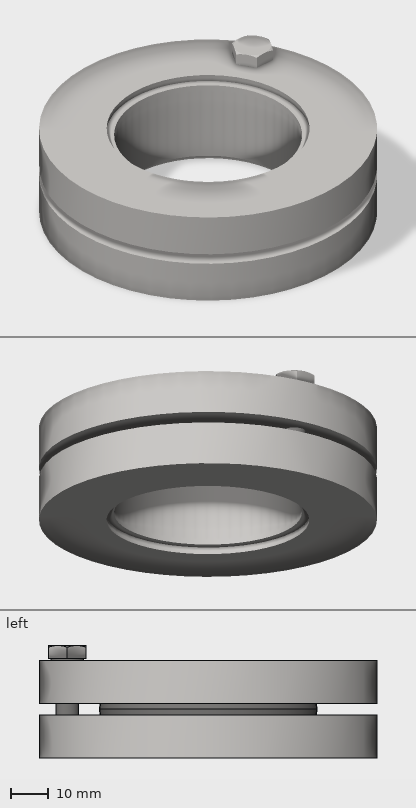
import cadquery as cq
import math

flange_diameter = 90.0
flange_thickness = 11.5
flange_gap = 3.0
stack_height = 2 * flange_thickness + flange_gap
middle_z = stack_height / 2

bore_diameter = 50.0
mouth_radius = 27.0
crest_radius = 29.0
sleeve_recess = 2.0
seat_slope = (crest_radius - mouth_radius) / middle_z
sleeve_end_radius = mouth_radius + seat_slope * sleeve_recess
seat_inner_radius = mouth_radius + seat_slope * flange_thickness

bolt_y = 37.5
shank_diameter = 6.0
collar_diameter = 8.7
collar_height = 0.45
head_width = 10.0
head_height = 3.5
head_corner_radius = head_width / 2 / math.cos(math.radians(30))
head_chamfer_angle = 30.0
head_chamfer_run = head_corner_radius - head_width / 2
head_chamfer_drop = head_chamfer_run * math.tan(math.radians(head_chamfer_angle))


def revolve_profile(points):
    """Revolve a closed (radius, height) outline about the Z axis."""
    return cq.Workplane("XZ").polyline(points).close().revolve(360, (0, 0, 0), (0, 1, 0))


def bolt_cylinder(diameter, bottom_z, height):
    """Cylinder on the bolt axis."""
    return cq.Workplane("XY", origin=(0, bolt_y, bottom_z)).circle(diameter / 2).extrude(height)


def make_flange(outer_z, inner_z):
    """Disc with a conical seat widening toward the gap and a bolt hole."""
    disc = revolve_profile([
        (mouth_radius, outer_z),
        (flange_diameter / 2, outer_z),
        (flange_diameter / 2, inner_z),
        (seat_inner_radius, inner_z),
    ])
    return disc.cut(bolt_cylinder(shank_diameter, 0, stack_height))


def make_sleeve():
    """Bored sleeve tapering from its crest toward both ends."""
    bottom_z = sleeve_recess
    top_z = stack_height - sleeve_recess
    return revolve_profile([
        (bore_diameter / 2, bottom_z),
        (sleeve_end_radius, bottom_z),
        (crest_radius, middle_z),
        (sleeve_end_radius, top_z),
        (bore_diameter / 2, top_z),
    ])


def make_bolt_head():
    """Hexagonal head with its top corners turned off by a cone."""
    head_bottom = stack_height + collar_height
    head_top = head_bottom + head_height
    head = (
        cq.Workplane("XY", origin=(0, bolt_y, head_bottom))
        .polygon(6, 2 * head_corner_radius)
        .extrude(head_height)
    )
    turned_blank = revolve_profile([
        (0, head_bottom),
        (head_corner_radius, head_bottom),
        (head_corner_radius, head_top - head_chamfer_drop),
        (head_width / 2, head_top),
        (0, head_top),
    ]).translate((0, bolt_y, 0))
    return head.intersect(turned_blank)


def make_bolt():
    """Head, bearing collar and shank ending flush with the lower flange."""
    shank = bolt_cylinder(shank_diameter, 0, stack_height)
    collar = bolt_cylinder(collar_diameter, stack_height, collar_height)
    return shank.union(collar).union(make_bolt_head())


lower_flange = make_flange(0, flange_thickness)
upper_flange = make_flange(stack_height, flange_thickness + flange_gap)
sleeve = make_sleeve()
bolt = make_bolt()

result = cq.Compound.makeCompound([
    lower_flange.val(),
    upper_flange.val(),
    sleeve.val(),
    bolt.val(),
])